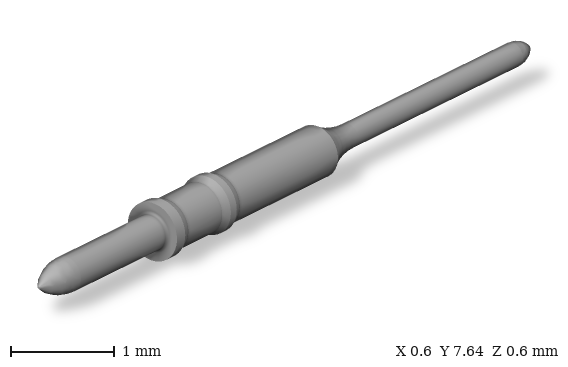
import cadquery as cq

total_length = 7.64
thin_pin_diameter = 0.25
thick_pin_diameter = 0.37
body_diameter = 0.535
collar_diameter = 0.6
tip_flat_diameter = 0.025

thick_tip_length = 0.43
thin_tip_length = 0.25
thick_pin_length = 1.77
flange_rim_length = 0.13
collar_bevel_length = 0.09
flange_to_ring = 0.53
ring_rim_length = 0.09
ring_to_taper = 1.53
taper_length = 0.5
root_fillet = 0.03

thin_radius = thin_pin_diameter / 2
thick_radius = thick_pin_diameter / 2
body_radius = body_diameter / 2
collar_radius = collar_diameter / 2
flat_radius = tip_flat_diameter / 2

thick_end = -total_length / 2
thin_end = total_length / 2
thick_shoulder = thick_end + thick_tip_length
thin_shoulder = thin_end - thin_tip_length
flange_face = thick_end + thick_pin_length
flange_rim_end = flange_face + flange_rim_length
flange_end = flange_rim_end + collar_bevel_length
ring_start = flange_end + flange_to_ring
ring_rim_start = ring_start + collar_bevel_length
ring_rim_end = ring_rim_start + ring_rim_length
ring_end = ring_rim_end + collar_bevel_length
taper_start = ring_end + ring_to_taper
taper_end = taper_start + taper_length


def tangent_arc_middle(pin_radius, shoulder, end_radius, end):
    """Midpoint of the arc that leaves a pin's side tangentially and stops at (end_radius, end)."""
    run = end - shoulder
    rise = end_radius - pin_radius
    arc_radius = (run**2 + rise**2) / (2 * rise)
    center_x = pin_radius + arc_radius
    chord_middle_x = (pin_radius + end_radius) / 2
    toward_x = chord_middle_x - center_x
    toward_y = run / 2
    stretch = abs(arc_radius) / (toward_x**2 + toward_y**2) ** 0.5
    return (center_x + toward_x * stretch, shoulder + toward_y * stretch)


thick_tip_middle = tangent_arc_middle(thick_radius, thick_shoulder, flat_radius, thick_end)
thin_tip_middle = tangent_arc_middle(thin_radius, thin_shoulder, flat_radius, thin_end)
taper_middle = tangent_arc_middle(thin_radius, taper_end, body_radius, taper_start)

profile = (
    cq.Workplane("XY")
    .moveTo(0, thick_end)
    .lineTo(flat_radius, thick_end)
    .threePointArc(thick_tip_middle, (thick_radius, thick_shoulder))
    .lineTo(thick_radius, flange_face - root_fillet)
    .tangentArcPoint((thick_radius + root_fillet, flange_face), relative=False)
    .lineTo(collar_radius, flange_face)
    .lineTo(collar_radius, flange_rim_end)
    .lineTo(body_radius, flange_end)
    .lineTo(body_radius, ring_start)
    .lineTo(collar_radius, ring_rim_start)
    .lineTo(collar_radius, ring_rim_end)
    .lineTo(body_radius, ring_end)
    .lineTo(body_radius, taper_start)
    .threePointArc(taper_middle, (thin_radius, taper_end))
    .lineTo(thin_radius, thin_shoulder)
    .threePointArc(thin_tip_middle, (flat_radius, thin_end))
    .lineTo(0, thin_end)
    .close()
)
result = profile.revolve(360, (0, 0, 0), (0, 1, 0))